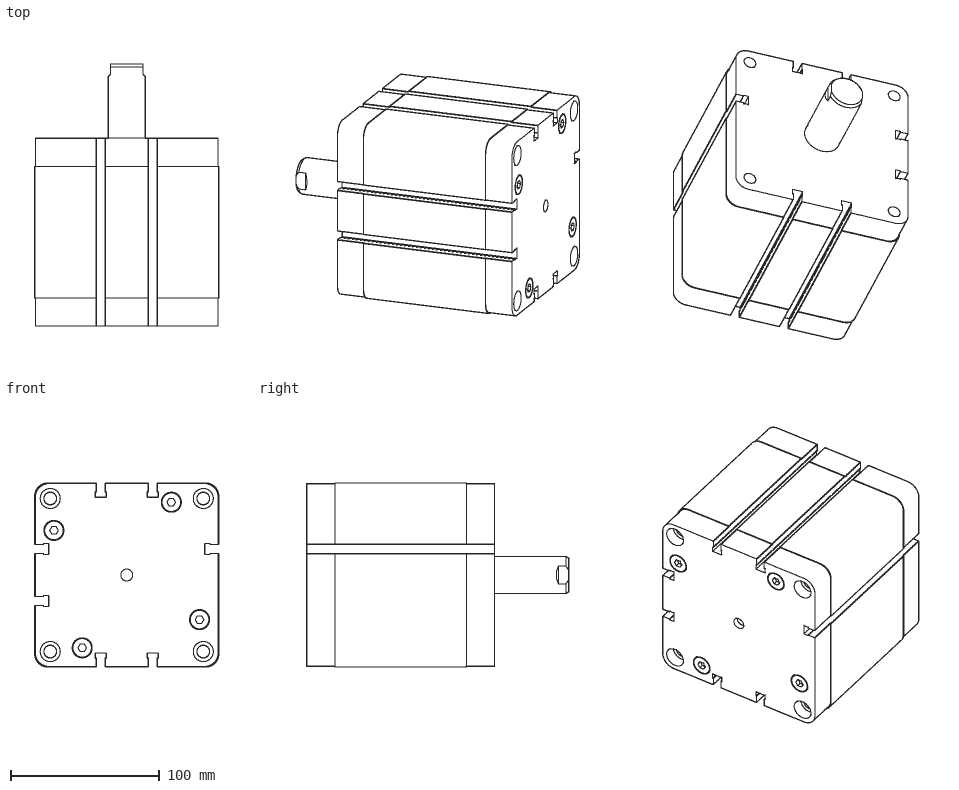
import cadquery as cq
import math

barrel_width = 124.0
cap_inset = 0.5
cap_width = barrel_width - 2 * cap_inset
body_length = 126.5
cap_length = 19.0
barrel_length = body_length - 2 * cap_length
corner_radius = 9.0

rod_diameter = 25.0
rod_length = 50.0
rod_flat_width = 22.0
rod_flat_length = 7.0
rod_flat_depth = (rod_diameter - rod_flat_width) / 2
rod_tip_chamfer_length = 2.0
rod_tip_chamfer_angle = 30.0

slot_offset = 17.5
slot_mouth_width = 6.0
slot_wide_width = 7.2
slot_depth = 9.5
slot_mouth_depth = 6.0
slot_lip_chamfer = 0.3

mount_offset = 51.5
mount_hole_diameter = 8.38
mount_bore_diameter = 13.5
mount_bore_depth = 8.0

screw_near_offset = 30.0
screw_far_offset = 49.0
screw_bore_diameter = 13.5
screw_head_diameter = 12.5
screw_gap_depth = 8.0
hex_across_corners = 5.8
hex_depth = 3.0

center_hole_diameter = 8.0
center_hole_depth = 4.0


def plane_at(y):
    """XZ sketch plane at the given Y: local axes are X and Z, extrusion runs toward +Y."""
    return cq.Workplane(cq.Plane(origin=(0, y, 0), xDir=(1, 0, 0), normal=(0, -1, 0)))


def slot_cutter(face_z, y_start, length, offset, face_angle):
    """T-slot for a block whose top face is at face_z, turned about Y by face_angle degrees."""
    mouth_x = slot_mouth_width / 2
    wide_x = slot_wide_width / 2
    shoulder_z = barrel_width / 2 - slot_mouth_depth
    floor_z = barrel_width / 2 - slot_depth
    half_profile = [
        (mouth_x + slot_lip_chamfer, face_z),
        (mouth_x, face_z - slot_lip_chamfer),
        (mouth_x, shoulder_z),
        (wide_x, shoulder_z),
        (wide_x, floor_z),
    ]
    mirrored_half = [(-x, z) for x, z in reversed(half_profile)]
    profile = [(x + offset, z) for x, z in half_profile + mirrored_half]
    cutter = plane_at(y_start).polyline(profile).close().extrude(-length)
    return cutter.rotate((0, 0, 0), (0, 1, 0), face_angle)


def slotted_block(width, y_start, length):
    """Square block along Y with rounded long edges and the sensor slots."""
    block = plane_at(y_start).rect(width, width).extrude(-length)
    block = block.edges("|Y").fillet(corner_radius)
    top, plus_x, bottom, minus_x = 0, 90, 180, 270
    slots = [(side * slot_offset, face) for face in (top, bottom, minus_x) for side in (-1, 1)]
    slots.append((-slot_offset, plus_x))
    for offset, face_angle in slots:
        block = block.cut(slot_cutter(width / 2, y_start, length, offset, face_angle))
    return block


def make_body():
    front_cap = slotted_block(cap_width, 0, cap_length)
    barrel = slotted_block(barrel_width, cap_length, barrel_length)
    rear_cap = slotted_block(cap_width, cap_length + barrel_length, cap_length)
    return front_cap.union(barrel).union(rear_cap)


def make_rod():
    tip_y = body_length + rod_length
    rod = plane_at(body_length).circle(rod_diameter / 2).extrude(-rod_length)
    chamfer_depth = rod_tip_chamfer_length * math.tan(math.radians(rod_tip_chamfer_angle))
    rod = rod.faces(">Y").chamfer(rod_tip_chamfer_length, chamfer_depth)
    flat_x = rod_flat_width / 2
    flat_y = tip_y - rod_flat_length
    for side in (-1, 1):
        cutter = (
            cq.Workplane("XY", origin=(0, 0, -rod_diameter / 2))
            .moveTo(side * flat_x, tip_y)
            .lineTo(side * flat_x, flat_y)
            .lineTo(side * (flat_x + rod_flat_depth), flat_y - rod_flat_depth)
            .lineTo(side * (flat_x + rod_flat_depth), tip_y)
            .close()
            .extrude(rod_diameter)
        )
        rod = rod.cut(cutter)
    return rod


def cut_mounting_holes(body):
    spacing = 2 * mount_offset
    holes = plane_at(0).rect(spacing, spacing, forConstruction=True).vertices()
    holes = holes.circle(mount_hole_diameter / 2).extrude(-body_length)
    bores = plane_at(0).rect(spacing, spacing, forConstruction=True).vertices()
    bores = bores.circle(mount_bore_diameter / 2).extrude(-mount_bore_depth)
    return body.cut(holes).cut(bores)


def cut_screws(body):
    """Ring gap around each screw head and the hex socket in it."""
    near, far = screw_near_offset, screw_far_offset
    centers = [(near, far), (-far, near), (-near, -far), (far, -near)]
    gaps = (
        plane_at(0)
        .pushPoints(centers)
        .circle(screw_bore_diameter / 2)
        .circle(screw_head_diameter / 2)
        .extrude(-screw_gap_depth)
    )
    sockets = plane_at(0).pushPoints(centers).polygon(6, hex_across_corners).extrude(-hex_depth)
    return body.cut(gaps).cut(sockets)


def cut_center_hole(body):
    return body.cut(plane_at(0).circle(center_hole_diameter / 2).extrude(-center_hole_depth))


body = cut_mounting_holes(make_body())
body = cut_screws(body)
body = cut_center_hole(body)
result = body.union(make_rod())